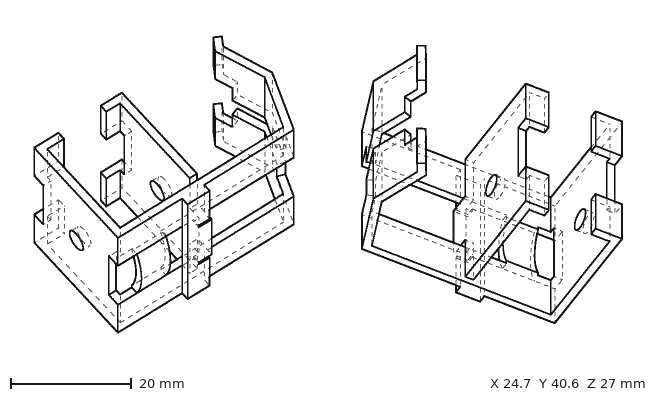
import cadquery as cq
import math

height = 27.0
depth = 40.65
plate_thickness = 1.55
slot_half = 5.55

wall_inner_x = 21.7
wall_outer_x = 23.18
wall_end_inner_y = 35.4
wall_end_outer_y = 36.5

front_plate_x = 0.15
front_lip_y = 5.05
middle_plate_back_y = 18.35
middle_plate_front_y = middle_plate_back_y - plate_thickness
middle_lip_y = 13.95
plate_slot_left_x = 2.65
plate_slot_right_x = 20.65
hole_x = 11.75
hole_diameter = 3.75

flange_outer_x = 24.7
flange_front_y = 13.3
flange_back_y = 17.9
neck_half = 5.0
relief_front_y = 15.65

band_front_y = 3.95
band_back_y = 9.95
band_outer_peak_x = 24.45
band_inner_peak_x = 22.9

peak_x = 11.75
peak_inner_y = 39.07
hook_bend_outer = (2.65, 37.4)
hook_bend_inner = (2.6, 35.75)
hook_tip_outer = (0.85, 38.45)
hook_tip_inner = (0.15, 37.2)
arm_slot_half = 2.0
arm_hook_cut = (5.25, 38.35)
arm_wall_cut = (18.2, 36.68)
clearance = 4.05


def block(x0, x1, y0, y1, half_height):
    """Box centred on Z = 0."""
    return cq.Workplane("XY").box(
        x1 - x0, y1 - y0, 2 * half_height, centered=(False, False, True)
    ).translate((x0, y0, 0))


def prism(points, half_height):
    """Polygon in XY extruded equally up and down."""
    return cq.Workplane("XY").polyline(points).close().extrude(half_height, both=True)


def clip_body():
    """Front plate, wall and bent arm as one folded strip with its slots."""
    body = prism(
        [
            (front_plate_x, 0),
            (wall_outer_x, 0),
            (wall_outer_x, wall_end_outer_y),
            (peak_x, depth),
            hook_bend_outer,
            hook_tip_outer,
            hook_tip_inner,
            hook_bend_inner,
            (peak_x, peak_inner_y),
            (wall_inner_x, wall_end_inner_y),
            (wall_inner_x, plate_thickness),
            (front_plate_x + plate_thickness, plate_thickness),
            (front_plate_x + plate_thickness, front_lip_y),
            (front_plate_x, front_lip_y),
        ],
        height / 2,
    )
    beyond_x = wall_outer_x + clearance
    beyond_y = depth + clearance
    body = body.cut(block(-clearance, plate_slot_left_x, -clearance, front_lip_y + clearance, slot_half))
    body = body.cut(block(plate_slot_right_x, beyond_x, -clearance, band_front_y, slot_half))
    body = body.cut(block(wall_inner_x - clearance / 2, beyond_x, band_front_y, wall_end_inner_y, slot_half))
    body = body.cut(block(-clearance, beyond_x, wall_end_inner_y, beyond_y, arm_slot_half))
    return body.cut(arm_end_cut(arm_hook_cut, hook_bend_outer, -1)).cut(
        arm_end_cut(arm_wall_cut, (wall_outer_x, wall_end_outer_y), 1)
    )


def arm_end_cut(corner, segment_end, side):
    """Wide slot at one end of the arm, ending square to the segment from the peak.

    side is -1 toward the hook and 1 toward the wall.
    """
    slope = math.atan2(depth - segment_end[1], abs(peak_x - segment_end[0]))
    length = abs(segment_end[0] - corner[0]) + clearance
    cutter = block(0, length, -2 * clearance, 2 * clearance, slot_half)
    angle = -slope if side > 0 else math.pi + slope
    return cutter.rotate((0, 0, 0), (0, 0, 1), math.degrees(angle)).translate((*corner, 0))


def middle_plate():
    """Lipped plate whose neck passes through the wall slot to the flange."""
    plate = block(0, plate_slot_right_x, middle_plate_front_y, middle_plate_back_y, height / 2)
    lip = block(0, plate_thickness, middle_lip_y, middle_plate_back_y, height / 2)
    slot = block(-clearance, plate_slot_left_x, middle_lip_y - clearance, depth, slot_half)
    neck = block(plate_slot_right_x, flange_outer_x, middle_plate_front_y, middle_plate_back_y, neck_half)
    flange = block(wall_outer_x, flange_outer_x, flange_front_y, flange_back_y, height / 2)
    reliefs = block(wall_outer_x, flange_outer_x, relief_front_y, flange_back_y, slot_half).cut(
        block(wall_outer_x, flange_outer_x, relief_front_y, flange_back_y, neck_half)
    )
    return plate.union(lip).cut(slot).union(flange.cut(reliefs)).union(neck)


def spring_band():
    """Arched strip, bulging outward, that joins the two halves of the wall."""
    return (
        cq.Workplane("XZ", origin=(0, band_back_y, 0))
        .moveTo(wall_outer_x, -slot_half)
        .threePointArc((band_outer_peak_x, 0), (wall_outer_x, slot_half))
        .lineTo(wall_inner_x, slot_half)
        .lineTo(wall_inner_x, neck_half)
        .threePointArc((band_inner_peak_x, 0), (wall_inner_x, -neck_half))
        .lineTo(wall_inner_x, -slot_half)
        .close()
        .extrude(band_back_y - band_front_y)
    )


def plate_holes():
    """Aligned round hole through the front and middle plates."""
    return (
        cq.Workplane("XZ", origin=(hole_x, middle_plate_back_y, 0))
        .circle(hole_diameter / 2)
        .extrude(middle_plate_back_y)
    )


result = clip_body().union(middle_plate()).union(spring_band()).cut(plate_holes())